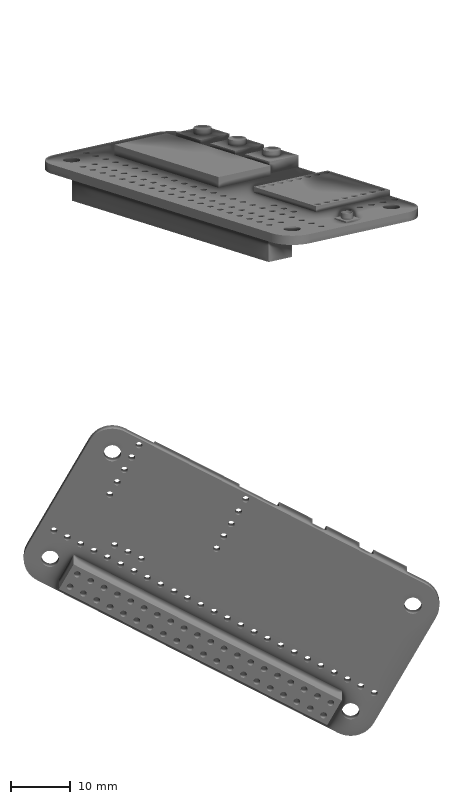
import cadquery as cq
board_length = 66.05
board_width = 30.5
board_thickness = 1.6
corner_radius = 4.4
mount_hole_diameter = 2.9
board_top = board_thickness
board_back = board_width / 2

long_row_count = 25
long_row_span = 60.95
pitch = long_row_span / (long_row_count - 1)
pin_hole_diameter = 1.1
long_row_y = -6.1
short_row_count = 3
short_row_x = 7 * pitch
short_row_y = long_row_y + pitch
column_count = 5
column_xs = (2 * pitch, 10 * pitch)
column_y = long_row_y + 6 * pitch

header_columns = 20
header_rows = 2
header_length = 51.05
header_width = header_rows * pitch
header_height = 4.35
header_y = -(board_width / 2 - corner_radius)

display_length = 26.95
display_width = 11.35
display_height = 1.85
display_x = -12.75
display_y = 2.25

button_count = 3
button_side = 6.35
button_height = 2.05
button_span = 17.95
button_middle_x = -12.9
button_y = board_back - button_side / 2
plunger_diameter = 3.05
plunger_height = 1.0

radio_side = 16.1
radio_height = 1.0
radio_x = 14.85
radio_y = board_back - radio_side / 2
radio_hole_count = 8
radio_hole_span = 14.0
radio_column_spacing = 14.4
radio_hole_diameter = 1.1

antenna_x = 30.0
antenna_base_side = 3.05
antenna_base_height = 0.25
antenna_barrel_diameter = 2.0
antenna_barrel_height = 1.0
antenna_bore_diameter = 1.85
antenna_pin_diameter = 0.25
antenna_pin_height = 0.8


def make_board():
    board = (
        cq.Workplane("XY")
        .rect(board_length, board_width)
        .extrude(board_thickness)
        .edges("|Z")
        .fillet(corner_radius)
    )

    mount_holes = (
        cq.Workplane("XY")
        .rarray(board_length - 2 * corner_radius, board_width - 2 * corner_radius, 2, 2)
        .circle(mount_hole_diameter / 2)
        .extrude(board_thickness)
    )
    board = board.cut(mount_holes)

    hole_groups = [
        (0, long_row_y, long_row_count, 1),
        (short_row_x, short_row_y, short_row_count, 1),
        (0, header_y, header_columns, header_rows),
    ]
    for column_x in column_xs:
        hole_groups.append((column_x, column_y, 1, column_count))

    for x, y, count_x, count_y in hole_groups:
        holes = (
            cq.Workplane("XY")
            .center(x, y)
            .rarray(pitch, pitch, count_x, count_y)
            .circle(pin_hole_diameter / 2)
            .extrude(board_thickness)
        )
        board = board.cut(holes)
    return board


def make_header():
    """Socket block whose pin holes continue those of the board."""
    bottom = cq.Workplane("XY", origin=(0, header_y, -header_height))
    block = bottom.rect(header_length, header_width).extrude(header_height)
    holes = (
        bottom.rarray(pitch, pitch, header_columns, header_rows)
        .circle(pin_hole_diameter / 2)
        .extrude(header_height)
    )
    return block.cut(holes)


def make_display():
    return (
        cq.Workplane("XY", origin=(display_x, display_y, board_top))
        .rect(display_length, display_width)
        .extrude(display_height)
    )


def make_button(x):
    """Square switch body with a round plunger on top."""
    return (
        cq.Workplane("XY", origin=(x, button_y, board_top))
        .rect(button_side, button_side)
        .extrude(button_height)
        .faces(">Z")
        .workplane()
        .circle(plunger_diameter / 2)
        .extrude(plunger_height)
    )


def make_radio():
    """Square module with a column of solder holes along two sides."""
    base = cq.Workplane("XY", origin=(radio_x, radio_y, board_top))
    module = base.rect(radio_side, radio_side).extrude(radio_height)
    hole_pitch = radio_hole_span / (radio_hole_count - 1)
    holes = (
        base.rarray(radio_column_spacing, hole_pitch, 2, radio_hole_count)
        .circle(radio_hole_diameter / 2)
        .extrude(radio_height)
    )
    return module.cut(holes)


def make_antenna():
    """Coaxial socket: square base, hollow barrel and centre pin."""
    base = (
        cq.Workplane("XY", origin=(antenna_x, 0, board_top))
        .rect(antenna_base_side, antenna_base_side)
        .extrude(antenna_base_height)
    )
    base_top = cq.Workplane("XY", origin=(antenna_x, 0, board_top + antenna_base_height))
    barrel = (
        base_top.circle(antenna_barrel_diameter / 2)
        .circle(antenna_bore_diameter / 2)
        .extrude(antenna_barrel_height)
    )
    pin = base_top.circle(antenna_pin_diameter / 2).extrude(antenna_pin_height)
    return base.union(barrel).union(pin)


board = make_board()
header = make_header()
display = make_display()
radio = make_radio()
antenna = make_antenna()

button_pitch = button_span / (button_count - 1)
buttons = []
for index in range(button_count):
    offset = (index - (button_count - 1) / 2) * button_pitch
    buttons.append(make_button(button_middle_x + offset).val())

result = cq.Compound.makeCompound(
    [board.val(), header.val(), display.val(), radio.val(), antenna.val(), *buttons]
)